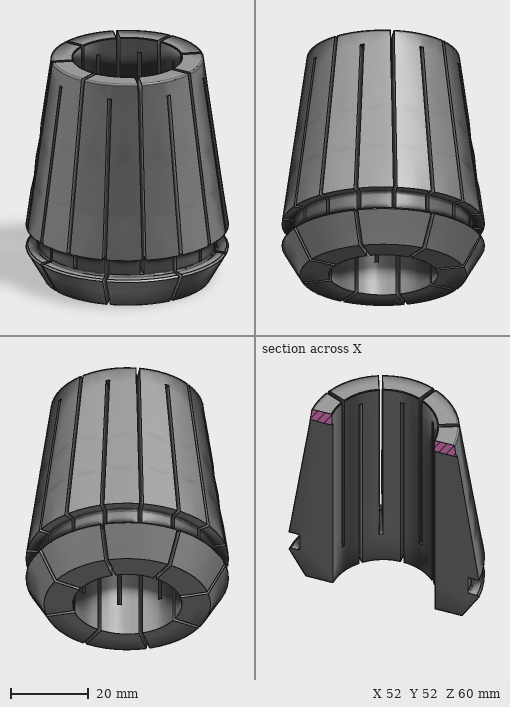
import cadquery as cq
import math

total_height = 60.0
outer_radius = 26.0
bore_radius = 14.0

taper_base_z = 14.0
taper_half_angle = math.radians(8.0)

groove_radius = 23.0
flange_top_z = 8.5
groove_fillet = 0.5

nose_half_angle = math.radians(30.0)

top_fillet = 0.5
flange_chamfer = 0.5
bore_chamfer = 0.2

slots_per_set = 8
slot_width = 1.0
lower_slot_end_z = 56.0
upper_slot_end_z = flange_top_z + groove_fillet

edge_margin = 0.01

full_turn = 360.0
slot_pitch = full_turn / slots_per_set
top_radius = outer_radius - (total_height - taper_base_z) * math.tan(taper_half_angle)
nose_top_z = flange_top_z - flange_chamfer
nose_base_radius = outer_radius - nose_top_z * math.tan(nose_half_angle)


def circle_at(radius, z):
    """Selector for the circular edge of the given radius at height z."""

    def box(half_width):
        low = (-half_width, -half_width, z - edge_margin)
        high = (half_width, half_width, z + edge_margin)
        return cq.selectors.BoxSelector(low, high, boundingbox=True)

    return box(radius + edge_margin) - box(radius - edge_margin)


def make_body():
    """Solid collet body with a chamfered flange, rounded groove corners and top edge."""
    profile = (
        cq.Workplane("XZ")
        .moveTo(0, 0)
        .lineTo(nose_base_radius, 0)
        .lineTo(outer_radius, nose_top_z)
        .lineTo(outer_radius - flange_chamfer, flange_top_z)
        .lineTo(groove_radius, flange_top_z)
        .lineTo(groove_radius, taper_base_z)
        .lineTo(outer_radius, taper_base_z)
        .lineTo(top_radius, total_height)
        .lineTo(0, total_height)
        .close()
    )
    body = profile.revolve(full_turn, (0, 0, 0), (0, 1, 0))
    body = body.edges(circle_at(groove_radius, flange_top_z)).fillet(groove_fillet)
    body = body.edges(circle_at(groove_radius, taper_base_z)).fillet(groove_fillet)
    return body.edges(circle_at(top_radius, total_height)).fillet(top_fillet)


def cut_bore(body):
    """Through bore with a small chamfer at the top mouth."""
    bore = cq.Workplane("XY").circle(bore_radius).extrude(total_height)
    mouth = (
        cq.Workplane("XY", origin=(0, 0, total_height))
        .circle(bore_radius + bore_chamfer)
        .workplane(offset=-bore_chamfer)
        .circle(bore_radius)
        .loft()
    )
    return body.cut(bore).cut(mouth)


def cut_slots(body, bottom_z, top_z, first_angle):
    """Ring of radial slots through the wall between two heights."""
    height = top_z - bottom_z
    slot = cq.Workplane("XY", origin=(0, 0, bottom_z)).box(
        outer_radius + slot_width, slot_width, height, centered=(False, True, False)
    )
    for index in range(slots_per_set):
        angle = first_angle + index * slot_pitch
        body = body.cut(slot.rotate((0, 0, 0), (0, 0, 1), angle))
    return body


collet = cut_bore(make_body())
collet = cut_slots(collet, 0, lower_slot_end_z, first_angle=0)
result = cut_slots(collet, upper_slot_end_z, total_height, first_angle=slot_pitch / 2)